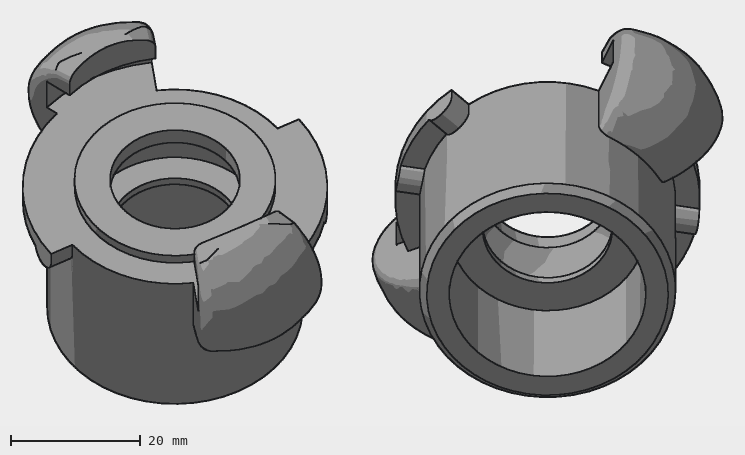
import cadquery as cq
import math

body_diameter = 39.5
body_height = 29.6
base_chamfer = 1.15
rim_diameter = 31.0
rim_height = 1.7
total_height = body_height + rim_height

bore_diameter = 20.0
chamber_diameter = 28.5
chamber_floor = 19.9
chamber_ceiling = 28.35
socket_diameter = 30.3
socket_depth = 18.45

flange_diameter = 47.0
flange_thickness = 3.1
flange_end_angle = 20.2
bump_radius = 2.5
bump_bottom = 24.9
bump_spacing_angle = 35.0

claw_reach = 31.5
claw_half_angle = 22.0
claw_apex_x = 0.7
claw_section_radius = 11.95
claw_plan_radius = 17.5
claw_edge_fillet = 2.1
claw_tip_radius = 21.0
claw_root_diameter = 27.7
claw_slot_radius = 25.45
claw_slot_top = 35.7
claw_axis_x = claw_reach - claw_plan_radius
claw_section_x = claw_reach - claw_section_radius
claw_crest_height = body_height + math.sqrt(
    claw_section_radius**2 - (claw_tip_radius - claw_section_x) ** 2
)


def cylinder(diameter, bottom, top):
    return cq.Workplane("XY").workplane(offset=bottom).circle(diameter / 2).extrude(top - bottom)


def wedge(start_angle, end_angle, height):
    """Triangle with its corner on the Z axis, reaching past every other feature."""
    corners = [
        (2 * claw_reach * math.cos(math.radians(angle)), 2 * claw_reach * math.sin(math.radians(angle)))
        for angle in (start_angle, end_angle)
    ]
    return cq.Workplane("XY").polyline([(0, 0)] + corners).close().extrude(height)


def make_body():
    body = cylinder(body_diameter, 0, body_height).faces("<Z").chamfer(base_chamfer)
    return body.union(cylinder(rim_diameter, body_height, total_height))


def make_flange():
    """Flange at the -Y side, from its square end to the claw at -X."""
    reach = flange_diameter / 2
    bump_height = bump_bottom + bump_radius
    outline = (
        cq.Workplane("XZ")
        .moveTo(-reach, body_height)
        .lineTo(bump_radius, body_height)
        .lineTo(bump_radius, bump_height)
        .lineTo(0, bump_height)
        .lineTo(0, body_height - flange_thickness)
        .lineTo(-reach, body_height - flange_thickness)
        .close()
    )
    plate = outline.extrude(reach).cut(
        wedge(180 - flange_end_angle, 180 + flange_end_angle, body_height)
    )
    bump = (
        cq.Workplane("XZ")
        .center(0, bump_height)
        .circle(bump_radius)
        .extrude(reach)
    )
    for angle in (0, -bump_spacing_angle):
        plate = plate.union(bump.rotate((0, 0, 0), (0, 0, 1), angle))
    return plate.intersect(cylinder(flange_diameter, 0, body_height))


def make_claw():
    """Claw at the +X side."""
    top = body_height + claw_section_radius
    bottom = body_height - claw_section_radius
    bulge = (
        cq.Workplane("XZ")
        .moveTo(claw_axis_x, bottom)
        .lineTo(claw_section_x, bottom)
        .threePointArc((claw_reach, body_height), (claw_section_x, top))
        .lineTo(claw_axis_x, top)
        .close()
        .revolve(360, (claw_axis_x, 0, 0), (claw_axis_x, 1, 0))
    )
    crown = (
        cq.Workplane("YZ")
        .center(0, claw_crest_height - claw_plan_radius)
        .circle(claw_plan_radius)
        .extrude(claw_reach)
    )
    crown = crown.union(
        cq.Workplane("XY").box(claw_reach, 2 * claw_plan_radius, body_height, centered=(False, True, False))
    )
    sides = wedge(-claw_half_angle, claw_half_angle, 2 * body_height).translate((claw_apex_x, 0, 0))
    claw = bulge.intersect(crown).intersect(sides)
    claw = claw.cut(cylinder(claw_root_diameter, 0, 2 * body_height))
    for side in (">Y", "<Y"):
        claw = claw.faces(side).edges("not %LINE").fillet(claw_edge_fillet)
    claw = claw.cut(cylinder(2 * claw_tip_radius, body_height, 2 * body_height))
    return claw.cut(cylinder(2 * claw_slot_radius, body_height, claw_slot_top))


def make_chamber():
    """Domed chamber: its wall starts upright at the floor and curves in to the bore."""
    width = (chamber_diameter - bore_diameter) / 2
    height = chamber_ceiling - chamber_floor
    dome_radius = (width**2 + height**2) / (2 * width)
    half_angle = math.asin(height / dome_radius) / 2
    arc_middle = (
        chamber_diameter / 2 - dome_radius * (1 - math.cos(half_angle)),
        chamber_floor + dome_radius * math.sin(half_angle),
    )
    return (
        cq.Workplane("XZ")
        .moveTo(0, chamber_floor)
        .lineTo(chamber_diameter / 2, chamber_floor)
        .threePointArc(arc_middle, (bore_diameter / 2, chamber_ceiling))
        .lineTo(0, chamber_ceiling)
        .close()
        .revolve(360, (0, 0, 0), (0, 1, 0))
    )


result = make_body()
for feature in (make_flange(), make_claw()):
    for angle in (0, 180):
        result = result.union(feature.rotate((0, 0, 0), (0, 0, 1), angle))
result = result.cut(cylinder(bore_diameter, 0, total_height))
result = result.cut(make_chamber())
result = result.cut(cylinder(socket_diameter, 0, socket_depth))